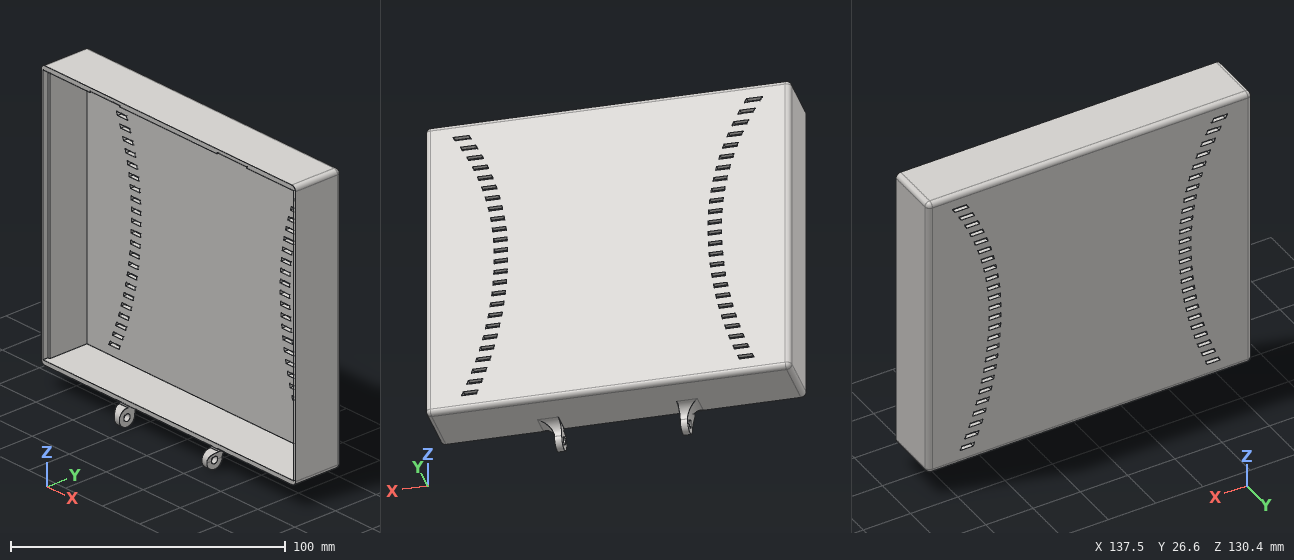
import cadquery as cq
import math

width = 137.5
depth = 22.75
height = 121.5
wall = 2.0
floor_thickness = 2.0
edge_radius = 2.0

rim_step_width = 1.0
rim_step_depth = 2.5

groove_length = 16.0
groove_height = 0.5
groove_depth = rim_step_depth
groove_center_x = width / 4

ear_thickness = 2.8
ear_inner_x = 22.25
ear_radius = 3.85
ear_drop = 5.0
ear_setback = 0.5
ear_hole_diameter = 3.0

slot_count = 25
slot_pitch = 4.5
slot_height = 1.5
band_width = 5.0
band_apex_x = 42.7
band_apex_z = 2.25
upper_band_radius = 97.0
lower_band_radius = 138.5

inner_width = width - 2 * wall
inner_height = height - 2 * wall
bottom_z = -height / 2


def box_between(x_range, y_range, z_range):
    """Axis-aligned box given by its (low, high) limits."""
    lows, highs = zip(x_range, y_range, z_range)
    sizes = [high - low for low, high in zip(lows, highs)]
    return cq.Workplane("XY").box(*sizes, centered=False).translate(lows)


def mirrored_pair(shape):
    """The shape together with its mirror image across X = 0."""
    return shape.union(shape.mirror("YZ"))


def tray():
    outer = box_between(
        (-width / 2, width / 2), (0, depth), (-height / 2, height / 2)
    )
    outer = outer.edges("|Y or >Y").fillet(edge_radius)
    cavity = box_between(
        (-inner_width / 2, inner_width / 2),
        (0, depth - floor_thickness),
        (-inner_height / 2, inner_height / 2),
    )
    return outer.cut(cavity)


def rim_step():
    half_width = inner_width / 2 + rim_step_width
    return box_between(
        (-half_width, half_width),
        (0, rim_step_depth),
        (-inner_height / 2, inner_height / 2),
    )


def latch_grooves():
    groove = box_between(
        (groove_center_x - groove_length / 2, groove_center_x + groove_length / 2),
        (0, groove_depth),
        (inner_height / 2, inner_height / 2 + groove_height),
    )
    return mirrored_pair(groove)


def band_point(x_offset, radius, z):
    """Point at height z on the arc through the apex, shifted by x_offset."""
    rise = z - band_apex_z
    bulge = radius - math.sqrt(radius**2 - rise**2)
    return (band_apex_x + x_offset + bulge, z)


def vent_band():
    """Curved band on the +X side, bulging towards the middle of the floor."""
    span = (slot_count - 1) * slot_pitch + slot_height
    top = span / 2
    bottom = -span / 2

    def inner_point(radius, z):
        return band_point(-band_width, radius + band_width, z)

    def outer_point(radius, z):
        return band_point(0, radius, z)

    upper_mid = (top + band_apex_z) / 2
    lower_mid = (bottom + band_apex_z) / 2
    profile = (
        cq.Workplane("XZ")
        .moveTo(*outer_point(upper_band_radius, top))
        .threePointArc(
            outer_point(upper_band_radius, upper_mid),
            outer_point(upper_band_radius, band_apex_z),
        )
        .threePointArc(
            outer_point(lower_band_radius, lower_mid),
            outer_point(lower_band_radius, bottom),
        )
        .lineTo(*inner_point(lower_band_radius, bottom))
        .threePointArc(
            inner_point(lower_band_radius, lower_mid),
            inner_point(lower_band_radius, band_apex_z),
        )
        .threePointArc(
            inner_point(upper_band_radius, upper_mid),
            inner_point(upper_band_radius, top),
        )
        .close()
    )
    return profile.extrude(-depth)


def vent_slots():
    bars = (
        cq.Workplane("XZ")
        .rarray(1, slot_pitch, 1, slot_count)
        .rect(width, slot_height)
        .extrude(-depth)
    )
    return mirrored_pair(bars.intersect(vent_band()))


def hinge_ears():
    """Ears with eyes centred on the rim plane, flared into the bottom wall at the back and outer side."""
    eye_z = bottom_z - ear_drop
    root_z = bottom_z + wall / 2
    flare = ear_drop
    flare_mid = flare * (1 - math.sqrt(0.5))
    outer_x = ear_inner_x + ear_thickness
    length = ear_thickness + flare

    side_profile = (
        cq.Workplane("YZ", origin=(ear_inner_x, 0, 0))
        .moveTo(ear_setback, eye_z)
        .lineTo(ear_radius, eye_z)
        .threePointArc(
            (ear_radius + flare_mid, bottom_z - flare_mid),
            (ear_radius + flare, bottom_z),
        )
        .lineTo(ear_radius + flare, root_z)
        .lineTo(ear_setback, root_z)
        .close()
        .extrude(length)
    )
    eye = (
        cq.Workplane("YZ", origin=(ear_inner_x, 0, eye_z))
        .circle(ear_radius)
        .extrude(length)
    )
    front_profile = (
        cq.Workplane("XZ", origin=(0, -ear_radius, 0))
        .moveTo(ear_inner_x, eye_z - ear_radius)
        .lineTo(outer_x, eye_z - ear_radius)
        .lineTo(outer_x, eye_z)
        .threePointArc(
            (outer_x + flare_mid, bottom_z - flare_mid),
            (outer_x + flare, bottom_z),
        )
        .lineTo(outer_x + flare, root_z)
        .lineTo(ear_inner_x, root_z)
        .close()
        .extrude(-(2 * ear_radius + flare))
    )
    pin_hole = (
        cq.Workplane("YZ", origin=(ear_inner_x, 0, eye_z))
        .circle(ear_hole_diameter / 2)
        .extrude(length)
    )
    ear = side_profile.union(eye).intersect(front_profile).cut(pin_hole)
    return mirrored_pair(ear)


result = (
    tray()
    .cut(rim_step())
    .cut(latch_grooves())
    .cut(vent_slots())
    .union(hinge_ears())
)